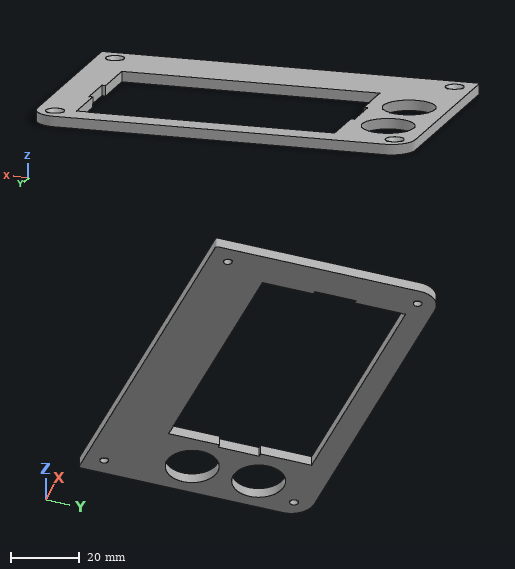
import cadquery as cq

length = 114.8
width = 70.4
thickness = 3.2
top_corner_radius = 7.2
bottom_corner_radius = 0.7

screw_inset = 5.9
screw_diameter = 2.5
screw_head_diameter = 5.5
countersink_angle = 90

round_diameter = 15.6
round_center_x = 11.9
upper_round_y = width - 19.1
round_spacing = 20.5

window_length = 78.3
window_width = 44.2
window_right_margin = 11.9
window_top_margin = 7.3
notch_depth = 1.1
notch_width = 12.6

window_center = (
    length - window_right_margin - window_length / 2,
    width - window_top_margin - window_width / 2,
)


def make_plate():
    """Flat plate with large upper and small lower corner rounds."""
    plate = cq.Workplane("XY").box(length, width, thickness, centered=False)
    plate = plate.edges("|Z and >Y").fillet(top_corner_radius)
    return plate.edges("|Z and <Y").fillet(bottom_corner_radius)


def make_window():
    """Cutter for the window and both of its side notches."""
    window = cq.Workplane("XY").center(*window_center).rect(window_length, window_width).extrude(thickness)
    notches = (
        cq.Workplane("XY")
        .center(*window_center)
        .rect(window_length + 2 * notch_depth, notch_width)
        .extrude(thickness)
    )
    return window.union(notches)


def make_round_openings():
    """Cutter for the pair of round openings."""
    centers = [(round_center_x, upper_round_y - i * round_spacing) for i in range(2)]
    return cq.Workplane("XY").pushPoints(centers).circle(round_diameter / 2).extrude(thickness)


def cut_screw_holes(plate):
    """Through holes countersunk from the top face."""
    centers = [(x, y) for x in (screw_inset, length - screw_inset) for y in (screw_inset, width - screw_inset)]
    return (
        plate.faces(">Z")
        .workplane(origin=(0, 0, thickness))
        .pushPoints(centers)
        .cskHole(screw_diameter, screw_head_diameter, countersink_angle)
    )


result = cut_screw_holes(make_plate()).cut(make_window()).cut(make_round_openings())